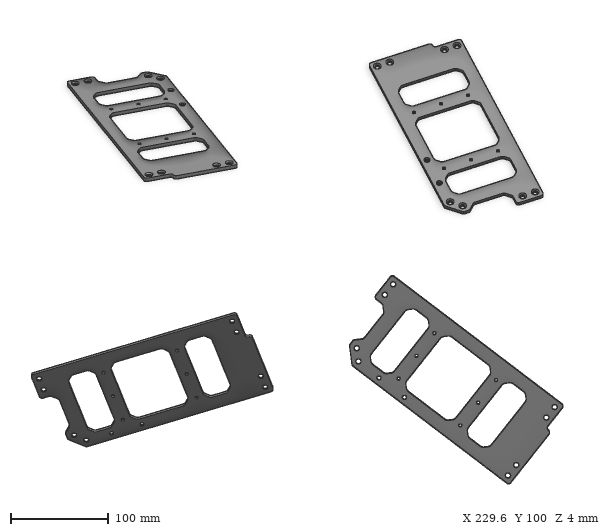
import cadquery as cq
plate_length = 229.6
plate_depth = 100.0
plate_thickness = 4.0

base_length = 223.55
center_x = base_length / 2
tab_height = 30.1
left_notch_x = 18.0
left_notch_ramp = 6.8
ear_x = 10.6
ear_bottom_y = 78.2
ear_top_y = 85.0
outline_radius = 3.0

window_depth = 72.5
window_chamfer = 6.0
window_radius = 5.0
middle_window_length = 63.6
side_window_length = 29.8
side_window_offset = 63.0

pin_diameter = 3.2
pin_row_offset = 40.0
pin_spacing = 30.0
pin_middle_y = 51.5

screw_diameter = 5.3
screw_sink_diameter = 8.0
small_screw_diameter = 4.2
small_screw_sink_diameter = 6.2
sink_angle = 90.0
pair_spacing = 13.9
end_screw_y = 7.0
end_screw_x = 6.9
ear_screw = (18.4, 82.8)
ear_screw_step = 9.8
small_screw_xs = (55.5, 88.5)
small_screw_y = 93.4


def make_plate():
    ear_slope = plate_depth - ear_top_y
    notch_top_y = ear_bottom_y - (left_notch_x - ear_x)
    corners = [
        (0, 0),
        (base_length, 0),
        (base_length, tab_height),
        (plate_length, tab_height),
        (plate_length, plate_depth),
        (ear_x + ear_slope, plate_depth),
        (ear_x, ear_top_y),
        (ear_x, ear_bottom_y),
        (left_notch_x, notch_top_y),
        (left_notch_x, tab_height + left_notch_ramp),
        (left_notch_x - left_notch_ramp, tab_height),
        (0, tab_height),
    ]
    plate = cq.Workplane("XY").polyline(corners).close().extrude(plate_thickness)
    return plate.edges("|Z").fillet(outline_radius)


def make_window(middle_x, length):
    window = cq.Workplane("XY").box(length, window_depth, plate_thickness, centered=(True, True, False))
    window = window.edges("|Z").chamfer(window_chamfer)
    window = window.edges("|Z").fillet(window_radius)
    return window.translate((middle_x, plate_depth / 2, 0))


def cut_windows(plate):
    plate = plate.cut(make_window(center_x, middle_window_length))
    for side in (-1, 1):
        plate = plate.cut(make_window(center_x + side * side_window_offset, side_window_length))
    return plate


def top_points(plate, points):
    top = plate.faces(">Z").workplane(origin=(0, 0, plate_thickness))
    return top.pushPoints(points)


def drill_pin_holes(plate):
    points = []
    for side in (-1, 1):
        for row in (-1, 0, 1):
            points.append((center_x + side * pin_row_offset, pin_middle_y + row * pin_spacing))
    return top_points(plate, points).hole(pin_diameter)


def drill_screw_holes(plate):
    upper_y = plate_depth - end_screw_y
    ear_x_first, ear_y_first = ear_screw
    points = [
        (end_screw_x, end_screw_y),
        (end_screw_x, end_screw_y + pair_spacing),
        (base_length - end_screw_x, end_screw_y),
        (base_length - end_screw_x, end_screw_y + pair_spacing),
        (plate_length - end_screw_x, upper_y),
        (plate_length - end_screw_x, upper_y - pair_spacing),
        ear_screw,
        (ear_x_first + ear_screw_step, ear_y_first + ear_screw_step),
    ]
    plate = top_points(plate, points).cskHole(screw_diameter, screw_sink_diameter, sink_angle)
    small_points = [(x, small_screw_y) for x in small_screw_xs]
    small_holes = top_points(plate, small_points)
    return small_holes.cskHole(small_screw_diameter, small_screw_sink_diameter, sink_angle)


result = drill_screw_holes(drill_pin_holes(cut_windows(make_plate())))